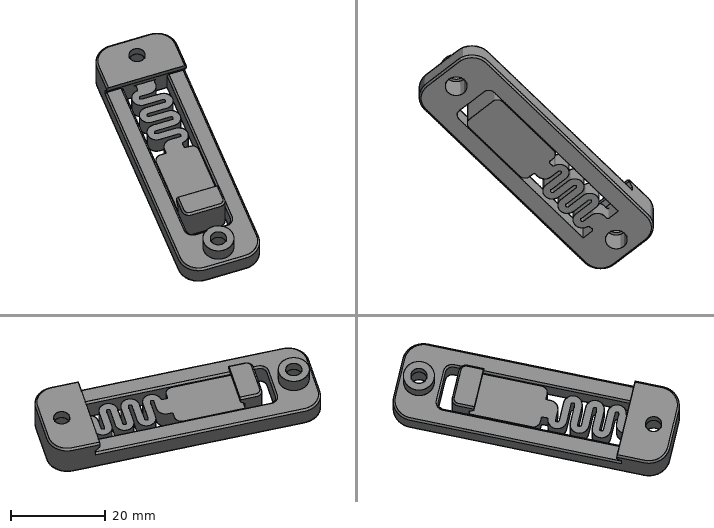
import cadquery as cq
import math

length = 60.0
width = 18.0
total_height = 7.6
base_height = 4.6
corner_radius = 4.5
edge_chamfer = 0.4
through_hole_dia = 3.4
counterbore_dia = 4.6
counterbore_top_gap = 2.0
hole_inset = 4.5
boss_dia = 6.6

block_wall_x = 9.5
lip_overhang = 1.0
lip_height = 1.1

pocket_end_x = 50.5
pocket_half_width = 5.0
plate_start_x = 28.4
plate_end_x = 47.5
plate_half_width = 4.8
inner_corner_radius = 1.5
hook_wall_x = 43.5

flexure_height = 4.15

leg_width = 1.6
leg_gap = 0.8
loop_count = 6
loop_center_y = 2.1
root_fillet = 0.35
leg_pitch = leg_width + leg_gap
loop_inner_radius = leg_gap / 2
loop_outer_radius = loop_inner_radius + leg_width
spring_mid_x = (block_wall_x + plate_start_x) / 2


def slab(x_start, x_end, half_width, height):
    """Rectangular slab standing on the bottom plane, centred on the X axis."""
    slab_length = x_end - x_start
    return (
        cq.Workplane("XY")
        .box(slab_length, 2 * half_width, height, centered=(False, True, False))
        .translate((x_start, 0, 0))
    )


def undercut_profile(wall_x, lip_direction, far_x):
    """Side profile of a wall whose top lip overhangs along lip_direction (+1 or -1)."""
    tip_x = wall_x + lip_direction * lip_overhang
    lip_bottom = total_height - lip_height
    return [
        (far_x, 0),
        (wall_x, 0),
        (wall_x, lip_bottom - lip_overhang),
        (tip_x, lip_bottom),
        (tip_x, total_height),
        (far_x, total_height),
    ]


def undercut_prism(wall_x, lip_direction, far_x, half_width):
    """Prism across the width with the undercut lip profile."""
    profile = undercut_profile(wall_x, lip_direction, far_x)
    return cq.Workplane("XZ").polyline(profile).close().extrude(half_width, both=True)


def make_frame():
    """Base with chamfered rim and a through pocket, open up to the end block."""
    base = slab(0, length, width / 2, base_height)
    base = base.edges("|Z").fillet(corner_radius)
    base = base.faces("<Z").edges().chamfer(edge_chamfer)
    pocket = slab(block_wall_x, pocket_end_x, pocket_half_width, base_height)
    pocket = pocket.edges("|Z and >X").fillet(inner_corner_radius)
    return base.cut(pocket).faces(">Z").edges().chamfer(edge_chamfer)


def make_end_block():
    """Full-height block with rounded corners and an undercut lip over the pocket."""
    envelope = slab(0, length, width / 2, total_height)
    envelope = envelope.edges("|Z").fillet(corner_radius)
    envelope = envelope.faces("<Z or >Z").edges().chamfer(edge_chamfer)
    return envelope.intersect(undercut_prism(block_wall_x, 1, 0, width / 2))


def make_plate():
    """Flat plate carried by the spring, with the latch hook at its free end."""
    plate = slab(plate_start_x, plate_end_x, plate_half_width, flexure_height)
    plate = plate.edges("|Z").fillet(inner_corner_radius)
    hook_envelope = slab(plate_start_x, plate_end_x, plate_half_width, total_height)
    hook_envelope = hook_envelope.edges("|Z").fillet(inner_corner_radius)
    hook_envelope = hook_envelope.faces(">Z").edges().chamfer(edge_chamfer)
    hook = undercut_prism(hook_wall_x, -1, plate_end_x, plate_half_width)
    return plate.union(hook_envelope.intersect(hook))


def spring_loop(center_x, side):
    """Half ring joining two neighbouring legs at the side +Y (+1) or -Y (-1)."""
    center_y = side * loop_center_y
    return (
        cq.Workplane("XY")
        .moveTo(center_x - loop_outer_radius, center_y)
        .threePointArc(
            (center_x, center_y + side * loop_outer_radius),
            (center_x + loop_outer_radius, center_y),
        )
        .lineTo(center_x + loop_inner_radius, center_y)
        .threePointArc(
            (center_x, center_y + side * loop_inner_radius),
            (center_x - loop_inner_radius, center_y),
        )
        .close()
        .extrude(flexure_height)
    )


def spring_root():
    """Neck that widens the last leg into the plate, with filleted inner corners."""
    loop_x = spring_mid_x + (loop_count - 1) / 2 * leg_pitch
    leg_left_x = loop_x + loop_inner_radius
    bend_center_x = leg_left_x + loop_outer_radius
    bend_middle = loop_outer_radius * math.sqrt(0.5)
    neck_bottom = -loop_outer_radius
    plate_fillet_x = plate_start_x - root_fillet

    center_distance = loop_outer_radius + root_fillet
    fillet_offset_x = math.sqrt(center_distance**2 - root_fillet**2)
    tangent_ratio = loop_outer_radius / center_distance
    tangent_x = loop_x + tangent_ratio * fillet_offset_x
    tangent_y = loop_center_y + tangent_ratio * root_fillet

    return (
        cq.Workplane("XY")
        .moveTo(leg_left_x, loop_center_y)
        .lineTo(leg_left_x, 0)
        .threePointArc((bend_center_x - bend_middle, -bend_middle), (bend_center_x, neck_bottom))
        .lineTo(plate_fillet_x, neck_bottom)
        .radiusArc((plate_start_x, neck_bottom - root_fillet), root_fillet)
        .lineTo(plate_start_x, loop_center_y + root_fillet)
        .radiusArc((plate_fillet_x, loop_center_y), root_fillet)
        .lineTo(loop_x + fillet_offset_x, loop_center_y)
        .radiusArc((tangent_x, tangent_y), root_fillet)
        .lineTo(loop_x + loop_outer_radius - root_fillet, loop_center_y)
        .close()
        .extrude(flexure_height)
    )


def make_spring():
    """Serpentine of parallel legs and alternating loops between two equal roots."""
    root = spring_root()
    opposite_root = root.rotate((spring_mid_x, 0, 0), (spring_mid_x, 0, 1), 180)
    spring = root.union(opposite_root)
    for index in range(loop_count):
        loop_x = spring_mid_x + (index - (loop_count - 1) / 2) * leg_pitch
        side = 1 if index % 2 else -1
        spring = spring.union(spring_loop(loop_x, side))
    for index in range(1, loop_count):
        leg_x = spring_mid_x + (index - loop_count / 2) * leg_pitch
        leg = slab(leg_x - leg_width / 2, leg_x + leg_width / 2, loop_center_y, flexure_height)
        spring = spring.union(leg)
    return spring


def cylinder(center_x, diameter, height):
    """Upright cylinder centred on the X axis, standing on the bottom plane."""
    return cq.Workplane("XY").center(center_x, 0).circle(diameter / 2).extrude(height)


def make_stepped_hole(center_x):
    """Through hole with a wider bore entering from the bottom."""
    through_hole = cylinder(center_x, through_hole_dia, total_height)
    counterbore = cylinder(center_x, counterbore_dia, total_height - counterbore_top_gap)
    return through_hole.union(counterbore)


far_hole_x = length - hole_inset
boss = cylinder(far_hole_x, boss_dia, total_height)
result = make_frame().union(make_end_block()).union(boss)
result = result.union(make_plate()).union(make_spring())
for hole_x in (hole_inset, far_hole_x):
    result = result.cut(make_stepped_hole(hole_x))